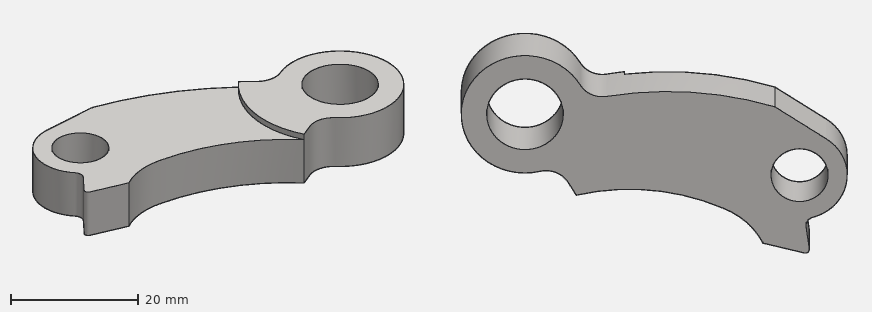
import cadquery as cq
import math

eye_radius = 10.0
eye_bore_radius = 6.0

boss_x = -32.05
boss_y = -30.7
boss_radius = 7.5
boss_bore_radius = 4.5

eye_height = 9.0
arm_height = 8.0
pad_radius = 16.0
cover_radius = 79.15

back_corner = (-34.55, -18.7)
back_middle = (-20.5, -7.45)
back_end = (-8.35, -2.45)
throat_middle = (-10.55, -21.15)
throat_joint = (-18.8, -29.5)
hook_middle = (-20.8, -33.5)
hook_end = (-21.2, -37.85)
tooth_tip = (-26.65, -43.2)
boss_overlap = (-30.15, -34.85)

back_notch = (-9.6, -2.75)
tooth_notch = (-29.15, -37.6)
eye_fillet = 4.0
boss_fillet = 1.5
tip_fillet = 0.65


def boss_tangent_point():
    """Point where the straight back edge from back_corner touches the boss."""
    dx = back_corner[0] - boss_x
    dy = back_corner[1] - boss_y
    angle = math.atan2(dy, dx) + math.acos(boss_radius / math.hypot(dx, dy))
    return boss_x + boss_radius * math.cos(angle), boss_y + boss_radius * math.sin(angle)


def cylinder(x, y, radius, height):
    return cq.Workplane("XY").center(x, y).circle(radius).extrude(height)


def fillet_corner(body, point, radius):
    """Round the upright edge closest to the given plan position."""
    selector = cq.selectors.NearestToPointSelector((*point, eye_height / 2))
    return body.edges("|Z").edges(selector).fillet(radius)


arm = (
    cq.Workplane("XY")
    .moveTo(*boss_tangent_point())
    .lineTo(*back_corner)
    .threePointArc(back_middle, back_end)
    .lineTo(0, 0)
    .lineTo(0, -pad_radius)
    .threePointArc(throat_middle, throat_joint)
    .threePointArc(hook_middle, hook_end)
    .lineTo(*tooth_tip)
    .lineTo(*boss_overlap)
    .lineTo(boss_x, boss_y)
    .close()
    .extrude(eye_height)
)

body = arm.union(cylinder(0, 0, eye_radius, eye_height))
body = body.union(cylinder(boss_x, boss_y, boss_radius, eye_height))
body = fillet_corner(body, back_notch, eye_fillet)
body = fillet_corner(body, (0, -eye_radius), eye_fillet)
body = fillet_corner(body, tooth_notch, boss_fillet)
body = fillet_corner(body, tooth_tip, tip_fillet)

lower_part = body.intersect(cylinder(0, 0, cover_radius, arm_height))
raised_part = body.intersect(cylinder(0, 0, pad_radius, eye_height))
result = (
    lower_part.union(raised_part)
    .cut(cylinder(0, 0, eye_bore_radius, eye_height))
    .cut(cylinder(boss_x, boss_y, boss_bore_radius, eye_height))
)